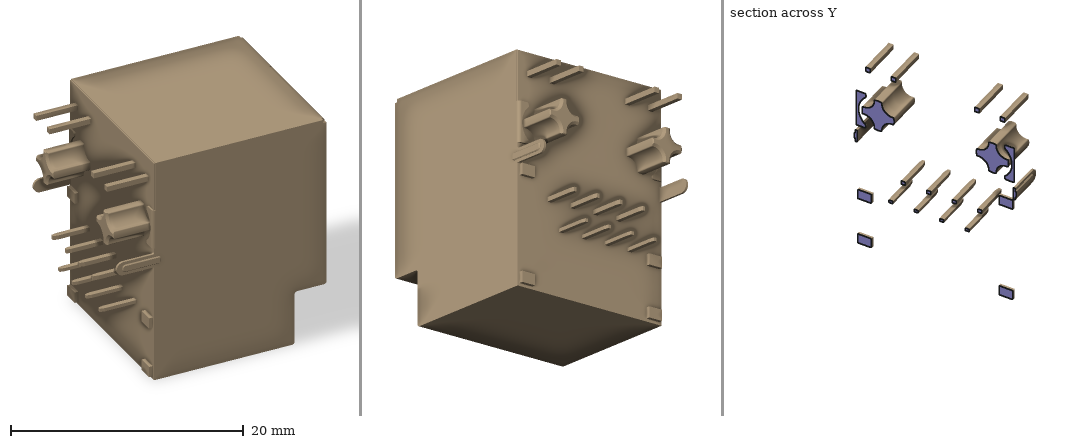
import cadquery as cq
import math


body_width = 16.0
body_depth = 16.6
body_height = 21.6
step_depth = 3.07
step_height = 5.22
profile_radius = 0.25
half_width = body_width / 2

near_full = 0.999

rim_width = 0.06
rim_depth = 0.12

bend_radius = 0.3
bend_corner_width = 0.38
bend_gap_width = 4.43
bend_gap_drop = 0.1

post_x = 5.715
post_z = 14.97
post_length = 3.62
post_tip_radius = 1.63
post_arm_half_width = 0.42
post_flute_depth_radius = 0.99
post_corner_radius = 0.1
post_flare_length = 0.2
post_flare_growth = 0.24
post_end_bevel = 0.08

wing_height = 3.8
wing_center_z = 15.0
wing_proud = 0.18
wing_reach = 1.1
wing_corner_radius = 0.2
wing_bend_radius = wing_proud + rim_depth
wing_clearance_radius = 1.93

tab_z = 11.9
tab_width = 1.3
tab_length = 3.6
tab_thickness = 0.22
tab_root_radius = 0.15
tab_overlap = 1.0
rib_start_y = 0.67
rib_end_y = -3.07
rib_width = 0.72
rib_height = 0.1
rib_bevel = 0.09
rib_corner_radius = 0.28

pitch = 2.54
lamp_pin_size = 0.5
lamp_pin_length = 4.0
lamp_pin_z = 19.55
lamp_inner_x = 4.19
lamp_pin_x = [lamp_inner_x, lamp_inner_x + pitch]

signal_pin_width = 0.45
signal_upper_height = 0.4
signal_lower_height = 0.32
signal_pin_length = 3.5
signal_tip_length = 0.48
signal_tip_width = 0.27
signal_row_pins = 4
signal_lower_z = 6.09
signal_upper_z = signal_lower_z + pitch
signal_end_x = (signal_row_pins / 2 - 0.25) * pitch

pad_width = 1.42
pad_height = 1.03
pad_thickness = 0.37
pad_x = 7.06
pad_places = [(-pad_x, 10.65), (pad_x, 5.63), (-pad_x, 0.79), (pad_x, 0.79)]


def block(x_range, y_range, z_range):
    """Axis-aligned box between the given limits."""
    sizes = [high - low for low, high in (x_range, y_range, z_range)]
    corner = (x_range[0], y_range[0], z_range[0])
    return cq.Workplane("XY").box(*sizes, centered=False).translate(corner)


def both_sides(shape):
    """The shape together with its mirror image across X = 0."""
    return shape.union(shape.mirror("YZ"))


def peg(x, z, width, height, length):
    """Rectangular peg standing on the board-side face."""
    return block(
        (x - width / 2, x + width / 2),
        (-length, rim_depth),
        (z - height / 2, z + height / 2),
    )


def make_housing():
    step_y = body_depth - step_depth
    housing = (
        cq.Workplane("YZ")
        .polyline([
            (0, 0),
            (step_y, 0),
            (step_y, step_height),
            (body_depth, step_height),
            (body_depth, body_height),
            (0, body_height),
        ])
        .close()
        .extrude(half_width, both=True)
    )
    for y, z in [(step_y, 0), (step_y, step_height), (body_depth, step_height)]:
        housing = housing.edges(cq.selectors.BoxSelector(
            (-half_width, y - profile_radius, z - profile_radius),
            (half_width, y + profile_radius, z + profile_radius),
        )).fillet(profile_radius)
    housing = housing.edges(">Y and >Z").fillet(bend_radius)

    bend_y = (body_depth - bend_radius, body_depth)
    bend_bottom = body_height - bend_radius
    corner = block(
        (half_width - bend_corner_width, half_width), bend_y, (bend_bottom, body_height)
    )
    gap = block(
        (-bend_gap_width / 2, bend_gap_width / 2), bend_y, (body_height - bend_gap_drop, body_height)
    )
    housing = housing.cut(both_sides(corner)).cut(gap)

    rim_bottom = wing_center_z - wing_height / 2
    rim = block((-half_width, half_width), (0, rim_depth), (rim_bottom, body_height))
    inner_face = block(
        (-half_width + rim_width, half_width - rim_width),
        (0, rim_depth),
        (rim_bottom, body_height - rim_width),
    )
    return housing.cut(rim.cut(inner_face))


def make_wing():
    """Right-hand shield flap, bent from the side wall onto the board-side face."""
    low_z = wing_center_z - wing_height / 2
    high_z = wing_center_z + wing_height / 2
    inner_x = half_width - wing_reach
    wing = block((inner_x, half_width), (-wing_proud, rim_depth), (low_z, high_z))
    wing = wing.edges("|Z and >X and <Y").fillet(wing_bend_radius * near_full)
    wing = wing.edges("|Y and <X").fillet(wing_corner_radius)
    clearance = (
        cq.Workplane("XZ", origin=(post_x, 0, post_z))
        .circle(wing_clearance_radius)
        .extrude(wing_proud)
    )
    return wing.cut(clearance)


def make_post():
    """Right-hand locating post: a round bar with four hollow flutes that flare at the free end."""
    tip = math.sqrt(post_tip_radius**2 - post_arm_half_width**2)
    flute_mid = post_flute_depth_radius * math.sqrt(0.5)
    flute_offset = (tip**2 + post_arm_half_width**2 - 2 * flute_mid**2) / (
        2 * (tip + post_arm_half_width - 2 * flute_mid)
    )
    flute_radius = math.sqrt(2) * (flute_offset - flute_mid)
    flute_places = [(x, z) for x in (-flute_offset, flute_offset) for z in (-flute_offset, flute_offset)]

    flutes = cq.Workplane("XZ").pushPoints(flute_places).circle(flute_radius).extrude(post_length)
    post = cq.Workplane("XZ").circle(post_tip_radius).extrude(post_length).cut(flutes)
    post = post.edges("|Y").fillet(post_corner_radius)

    for x, z in flute_places:
        flare = cq.Solid.makeCone(
            flute_radius,
            flute_radius + post_flare_growth,
            post_flare_length,
            pnt=cq.Vector(x, post_flare_length - post_length, z),
            dir=cq.Vector(0, -1, 0),
        )
        post = post.cut(cq.Workplane(flare))

    bevelled_bar = (
        cq.Workplane("XZ").circle(post_tip_radius).extrude(post_length).faces("<Y").chamfer(post_end_bevel)
    )
    return post.intersect(bevelled_bar).translate((post_x, 0, post_z))


def make_tab():
    """Right-hand grounding tab with its raised stiffening rib."""
    tab_x = (half_width - tab_thickness, half_width)
    half_tab = tab_width / 2
    tab = block(tab_x, (-tab_length, tab_overlap), (tab_z - half_tab, tab_z + half_tab))
    tab = tab.edges("|X and <Y").fillet(half_tab * near_full)

    tab_top = tab_z + half_tab
    root = block(tab_x, (-tab_root_radius, tab_root_radius), (tab_top, tab_top + tab_root_radius))
    root_round = (
        cq.Workplane("YZ", origin=(0, -tab_root_radius, tab_top + tab_root_radius))
        .circle(tab_root_radius)
        .extrude(body_width)
    )
    rib = block(
        (half_width - tab_thickness, half_width + rib_height),
        (rib_end_y, rib_start_y),
        (tab_z - rib_width / 2, tab_z + rib_width / 2),
    )
    rib = rib.edges("|X").fillet(rib_corner_radius).faces(">X").chamfer(rib_bevel)
    return tab.union(root.cut(root_round)).union(rib)


def make_signal_pin(x, z, height):
    """Signal pin whose free end narrows in X."""
    half_pin = signal_pin_width / 2
    half_tip = signal_tip_width / 2
    shoulder_y = signal_tip_length - signal_pin_length
    return (
        cq.Workplane("XY", origin=(x, 0, z))
        .polyline([
            (-half_pin, rim_depth),
            (-half_pin, shoulder_y),
            (-half_tip, -signal_pin_length),
            (half_tip, -signal_pin_length),
            (half_pin, shoulder_y),
            (half_pin, rim_depth),
        ])
        .close()
        .extrude(height / 2, both=True)
    )


result = make_housing()
for feature in (make_wing(), make_post(), make_tab()):
    result = result.union(both_sides(feature))

for x in lamp_pin_x:
    lamp_pin = peg(x, lamp_pin_z, lamp_pin_size, lamp_pin_size, lamp_pin_length)
    result = result.union(both_sides(lamp_pin))

for number in range(signal_row_pins):
    x = signal_end_x - number * pitch
    result = result.union(make_signal_pin(-x, signal_upper_z, signal_upper_height))
    result = result.union(make_signal_pin(x, signal_lower_z, signal_lower_height))

for x, z in pad_places:
    result = result.union(peg(x, z, pad_width, pad_height, pad_thickness))